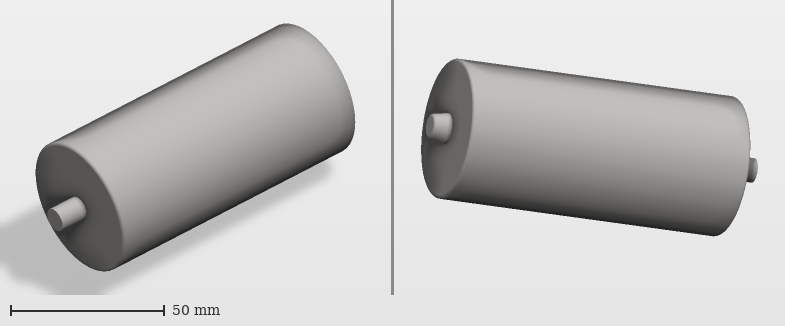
import cadquery as cq
import math


can_diameter = 46.0
can_length = 97.5
can_edge_radius = 1.0

stud_diameter = 8.0
stud_length = 10.0

terminal_length = 6.0
terminal_tip_diameter = stud_diameter
terminal_tip_radius = 1.0
terminal_draft_angle = 10.0
terminal_flare = terminal_length * math.tan(math.radians(terminal_draft_angle))
terminal_base_diameter = terminal_tip_diameter + 2 * terminal_flare

front_y = -can_length / 2
back_y = can_length / 2


def make_can():
    """Can with rounded rims at both ends and an integral stud on the -Y end."""
    can = (
        cq.Workplane("XZ", origin=(0, back_y, 0))
        .circle(can_diameter / 2)
        .extrude(can_length)
        .edges()
        .fillet(can_edge_radius)
    )
    stud = cq.Workplane("XZ", origin=(0, front_y, 0)).circle(stud_diameter / 2).extrude(stud_length)
    return can.union(stud)


def make_terminal():
    """Tapered post standing on the +Y face of the can, with a rounded tip."""
    tip_y = back_y + terminal_length
    return (
        cq.Workplane("XY")
        .moveTo(0, back_y)
        .lineTo(terminal_base_diameter / 2, back_y)
        .lineTo(terminal_tip_diameter / 2, tip_y)
        .lineTo(0, tip_y)
        .close()
        .revolve(360, (0, 0, 0), (0, 1, 0))
        .faces(">Y")
        .edges()
        .fillet(terminal_tip_radius)
    )


can = make_can()
terminal = make_terminal()

result = cq.Compound.makeCompound([can.val(), terminal.val()])